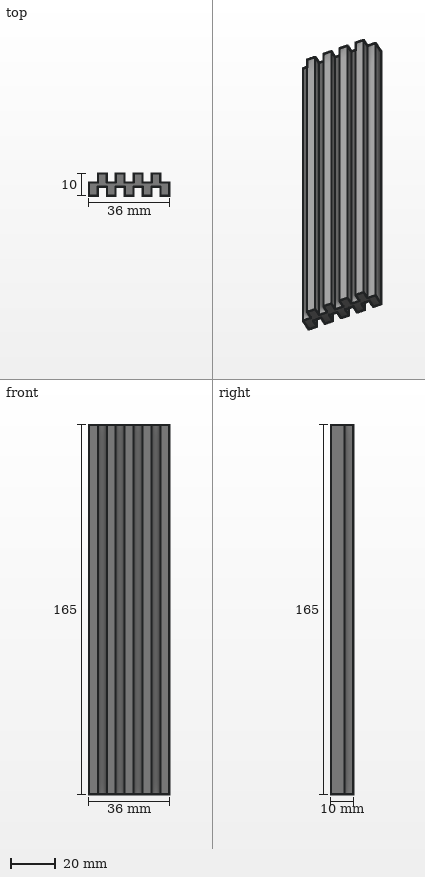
import cadquery as cq

width = 36.0
length = 165.0
front_rib_count = 5
back_rib_count = front_rib_count - 1

rib_size = width / (front_rib_count + back_rib_count)
rib_pitch = 2 * rib_size
web_thickness = rib_size / 2
rib_offset = (web_thickness + rib_size) / 2


def ribs(count, y_center):
    """Square ribs centred on X, standing against one face of the web."""
    first_x = -(count - 1) * rib_pitch / 2
    centers = [(first_x + i * rib_pitch, y_center) for i in range(count)]
    return cq.Workplane("XY").pushPoints(centers).rect(rib_size, rib_size).extrude(length)


web = cq.Workplane("XY").rect(width, web_thickness).extrude(length)
front_ribs = ribs(front_rib_count, -rib_offset)
back_ribs = ribs(back_rib_count, rib_offset)

result = web.union(front_ribs).union(back_ribs).clean()